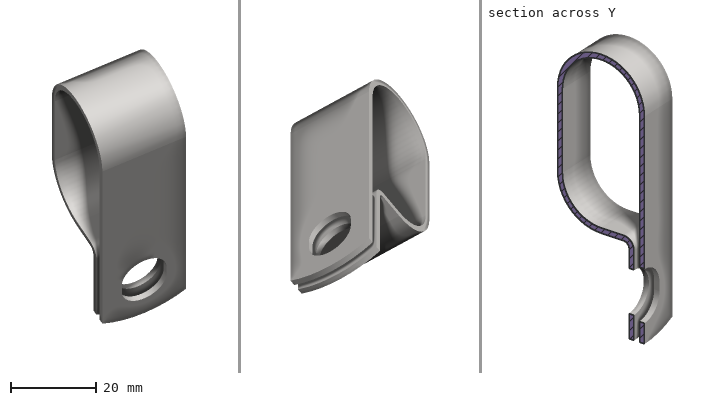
import cadquery as cq
import math

band_width = 22.225
thickness = 1.524
loop_bore = 22.225
loop_straight = 22.225
total_height = 72.96
tab_gap = 1.524
bend_inner_radius = 1.524
hole_diameter = 11.906
slot_length = 14.288
hole_above_tip = 12.7
tip_radius = 25.4

inner_radius = loop_bore / 2
outer_radius = inner_radius + thickness
bend_outer_radius = bend_inner_radius + thickness
half_width = band_width / 2
tip_z = outer_radius - total_height
lower_arc_z = -loop_straight
short_tab_right = inner_radius - tab_gap
short_tab_left = short_tab_right - thickness
shelf_top_z = lower_arc_z - inner_radius
shelf_bottom_z = lower_arc_z - outer_radius
bend_x = short_tab_right - bend_outer_radius
bend_z = shelf_top_z - bend_outer_radius
diagonal = math.sqrt(0.5)


def make_band():
    """Strip profile in XZ, extruded across the band width and centred on Y."""
    profile = (
        cq.Workplane("XZ")
        .moveTo(outer_radius, tip_z)
        .lineTo(outer_radius, 0)
        .threePointArc((0, outer_radius), (-outer_radius, 0))
        .lineTo(-outer_radius, lower_arc_z)
        .threePointArc(
            (-outer_radius * diagonal, lower_arc_z - outer_radius * diagonal),
            (0, shelf_bottom_z),
        )
        .lineTo(bend_x, shelf_bottom_z)
        .threePointArc(
            (bend_x + bend_inner_radius * diagonal, bend_z + bend_inner_radius * diagonal),
            (short_tab_left, bend_z),
        )
        .lineTo(short_tab_left, tip_z)
        .lineTo(short_tab_right, tip_z)
        .lineTo(short_tab_right, bend_z)
        .threePointArc(
            (bend_x + bend_outer_radius * diagonal, bend_z + bend_outer_radius * diagonal),
            (bend_x, shelf_top_z),
        )
        .lineTo(0, shelf_top_z)
        .threePointArc(
            (-inner_radius * diagonal, lower_arc_z - inner_radius * diagonal),
            (-inner_radius, lower_arc_z),
        )
        .lineTo(-inner_radius, 0)
        .threePointArc((0, inner_radius), (inner_radius, 0))
        .lineTo(inner_radius, tip_z)
        .close()
    )
    return profile.extrude(half_width, both=True)


def make_side_envelope():
    """Outline in YZ with the rounded tab end, deep enough to cover the part."""
    corner_z = tip_z + tip_radius - math.sqrt(tip_radius**2 - half_width**2)
    return (
        cq.Workplane("YZ")
        .moveTo(-half_width, outer_radius)
        .lineTo(-half_width, corner_z)
        .threePointArc((0, tip_z), (half_width, corner_z))
        .lineTo(half_width, outer_radius)
        .close()
        .extrude(outer_radius, both=True)
    )


def make_round_hole():
    """Cylinder along X that passes through both tabs."""
    return (
        cq.Workplane("YZ")
        .center(0, tip_z + hole_above_tip)
        .circle(hole_diameter / 2)
        .extrude(outer_radius)
    )


def make_adjustment_slot():
    """Upright slot through the long tab only, concentric with the round hole."""
    return (
        cq.Workplane("YZ")
        .workplane(offset=inner_radius - tab_gap / 2)
        .center(0, tip_z + hole_above_tip)
        .slot2D(slot_length, hole_diameter, 90)
        .extrude(tab_gap + thickness)
    )


clip = make_band().intersect(make_side_envelope())
result = clip.cut(make_round_hole()).cut(make_adjustment_slot())